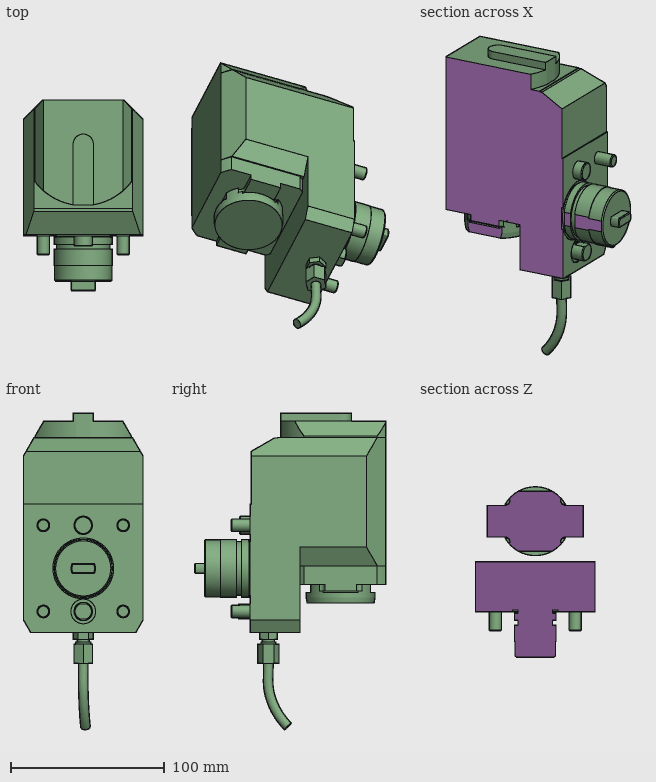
import cadquery as cq
import math


WIDTH = 78.0
BACK_Y = 88.5
TOP_Z = 127.3
SLOPE = math.tan(math.radians(60))
TOP_HALF_WIDTH = 32.0
BASE_HALF_WIDTH = 34.2
BACK_CHAMFER = 12.5
PLATE_DEPTH = 32.5
PLATE_TOP_Z = 126.9
PLATE_TOP_DEPTH = 17.7
FRONT_CHAMFER_Y = 15.9
FRONT_CHAMFER_SLOPE = math.tan(math.radians(30))
PAD_TOP_Z = 83.8
PAD_STEP = 0.75
BLOCK_BOTTOM_Z = 43.5

TURRET_Y = 59.0
TURRET_RADIUS = 39.5
TURRET_HALF_WIDTH = 31.4
CAP_WALL = 0.8
CAP_TOP_Z = 137.8
KEY_WIDTH = 13.2
KEY_TOP_Z = 143.0
KEY_BACK_Y = 66.2
KEY_FLAT_WIDTH = 9.3
FOOT_BOTTOM_Z = 31.4

COUPLING_DIAMETER = 45.0
COUPLING_TIP_DIAMETER = 43.7
COUPLING_TAPER_Z = 23.0
COUPLING_BOTTOM_Z = 19.2
NECK_BOTTOM_Z = 26.2
NECK_WIDTH = 39.2
LUG_WIDTH = 20.6
LUG_BOTTOM_Z = 27.2
LUG_FILLET = 3.5
LUG_ROOT_X = 16.5
NOTCH_WIDTH = 22.7

SPINDLE_Z = 41.9
SPINDLE_DIAMETER = 38.0
SPINDLE_TIP_DIAMETER = 37.5
SPINDLE_GROOVE_DIAMETER = 35
SPINDLE_GROOVE_START = 5.5
SPINDLE_GROOVE_END = 8.7
SPINDLE_STEP = 19.4
SPINDLE_LENGTH = 29.7
SPINDLE_CHAMFER = 0.8
SPINDLE_RECESS_DIAMETER = 39.6
RECESS_DEPTH = 1.0
TONGUE_WIDTH = 15.9
TONGUE_HEIGHT = 6.5
TONGUE_TIP = 36.0
TONGUE_CORNER_RADIUS = 1.0
PIN_SPACING_X = 52.0
PIN_SPACING_Z = 56.1
PIN_DIAMETER = 8.3
PIN_LENGTH = 12.4
TIP_CHAMFER = 0.6
DOWEL_DIAMETER = 12.0
UPPER_DOWEL_LENGTH = 6.8
LOWER_DOWEL_LENGTH = 7.5
LOWER_DOWEL_HEIGHT = 10.0
DOWEL_RECESS_DIAMETER = 16.0

GLAND_Y = 12.0
GLAND_NUT_FLATS = 11.5
GLAND_NUT_BOTTOM_Z = -4.3
GLAND_NECK_DIAMETER = 8.0
GLAND_COLLAR_DIAMETER = 10.0
GLAND_COLLAR_TOP_Z = -6.0
GLAND_BODY_FLATS = 12.2
GLAND_BODY_TURN = 30
GLAND_BODY_TOP_Z = -7.5
GLAND_BODY_BOTTOM_Z = -20.0
CABLE_DIAMETER = 6.4
CABLE_END_Z = -61.0
CABLE_REACH = 12.8
CABLE_BEND_START_Z = -35
CABLE_BEND_ANGLE = math.radians(45)
CABLE_TWIST = math.radians(6.5)

HALF_WIDTH = WIDTH / 2
SIDE_CHAMFER_HEIGHT = (HALF_WIDTH - TOP_HALF_WIDTH) * SLOPE


def upright_prism(sketch_points, z_low, z_high):
    """Extrude a closed XY outline between two heights."""
    return cq.Workplane("XY", origin=(0, 0, z_low)).polyline(sketch_points).close().extrude(z_high - z_low)


def mirrored_prism(right_half, y_front, y_back):
    """Extrude an XZ outline, given by its +X half, between two depths."""
    left_half = [(-x, z) for x, z in reversed(right_half)]
    outline = cq.Workplane("XZ", origin=(0, y_front, 0)).polyline(right_half + left_half).close()
    return outline.extrude(y_front - y_back)


def upright_cylinder(y, diameter, z_low, z_high):
    return cq.Workplane("XY", origin=(0, y, z_low)).circle(diameter / 2).extrude(z_high - z_low)


def front_cylinder(x, z, diameter, start, end):
    """Cylinder along -Y, from one distance in front of the pad to another."""
    return cq.Workplane("XZ", origin=(x, -start, z)).circle(diameter / 2).extrude(end - start)


def block(width, y_front, y_back, z_low, z_high):
    """Box centred on X = 0."""
    box = cq.Workplane("XY").box(width, y_back - y_front, z_high - z_low, centered=(True, False, False))
    return box.translate((0, y_front, z_low))


def make_housing():
    slope_drop = (FRONT_CHAMFER_Y - PAD_STEP) * FRONT_CHAMFER_SLOPE
    side_outline = [
        (0, 0),
        (0, PAD_TOP_Z),
        (PAD_STEP, PAD_TOP_Z),
        (PAD_STEP, PLATE_TOP_Z - slope_drop),
        (FRONT_CHAMFER_Y, PLATE_TOP_Z),
        (PLATE_TOP_DEPTH, PLATE_TOP_Z),
        (PLATE_TOP_DEPTH, TOP_Z),
        (BACK_Y, TOP_Z),
        (BACK_Y, BLOCK_BOTTOM_Z),
        (PLATE_DEPTH, BLOCK_BOTTOM_Z),
        (PLATE_DEPTH, 0),
    ]
    body = cq.Workplane("YZ").polyline(side_outline).close().extrude(HALF_WIDTH, both=True)

    front_half = [
        (BASE_HALF_WIDTH, 0),
        (HALF_WIDTH, (HALF_WIDTH - BASE_HALF_WIDTH) * SLOPE),
        (HALF_WIDTH, TOP_Z - SIDE_CHAMFER_HEIGHT),
        (TOP_HALF_WIDTH, TOP_Z),
    ]
    body = body.intersect(mirrored_prism(front_half, 0, BACK_Y))

    chamfered_plan = [
        (-HALF_WIDTH, 0),
        (HALF_WIDTH, 0),
        (HALF_WIDTH, BACK_Y - BACK_CHAMFER),
        (HALF_WIDTH - BACK_CHAMFER, BACK_Y),
        (BACK_CHAMFER - HALF_WIDTH, BACK_Y),
        (-HALF_WIDTH, BACK_Y - BACK_CHAMFER),
    ]
    body = body.intersect(upright_prism(chamfered_plan, 0, TOP_Z))

    for side in (1, -1):
        underside_wedge = [
            (side * TOP_HALF_WIDTH, BLOCK_BOTTOM_Z),
            (side * HALF_WIDTH, BLOCK_BOTTOM_Z + SIDE_CHAMFER_HEIGHT),
            (side * HALF_WIDTH, BLOCK_BOTTOM_Z),
        ]
        wedge = cq.Workplane("XZ", origin=(0, PLATE_DEPTH, 0)).polyline(underside_wedge).close()
        body = body.cut(wedge.extrude(PLATE_DEPTH - BACK_Y))
    return body


def make_turret():
    """Cap with its key above the housing, and the foot below it."""
    round_limit = upright_cylinder(TURRET_Y, 2 * TURRET_RADIUS, FOOT_BOTTOM_Z, KEY_TOP_Z)
    flat_front_y = TURRET_Y - math.sqrt(TURRET_RADIUS**2 - (KEY_FLAT_WIDTH / 2) ** 2)

    wall_top_z = TOP_Z + CAP_WALL
    cap_half = [
        (TURRET_HALF_WIDTH, TOP_Z),
        (TURRET_HALF_WIDTH, wall_top_z),
        (TURRET_HALF_WIDTH - (CAP_TOP_Z - wall_top_z) / SLOPE, CAP_TOP_Z),
    ]
    cap = mirrored_prism(cap_half, flat_front_y, BACK_Y)

    key_radius = KEY_WIDTH / 2
    key_center_y = KEY_BACK_Y - key_radius
    key = block(KEY_WIDTH, flat_front_y, key_center_y, TOP_Z, KEY_TOP_Z)
    key = key.union(upright_cylinder(key_center_y, KEY_WIDTH, TOP_Z, KEY_TOP_Z))

    foot = block(2 * TURRET_HALF_WIDTH, PLATE_DEPTH, BACK_Y, FOOT_BOTTOM_Z, BLOCK_BOTTOM_Z)
    return cap.union(key).intersect(round_limit), foot.intersect(round_limit)


def make_coupling():
    flange = upright_cylinder(TURRET_Y, COUPLING_DIAMETER, COUPLING_TAPER_Z, FOOT_BOTTOM_Z)
    taper = (
        cq.Workplane("XY", origin=(0, TURRET_Y, COUPLING_TAPER_Z))
        .circle(COUPLING_DIAMETER / 2)
        .workplane(offset=COUPLING_BOTTOM_Z - COUPLING_TAPER_Z)
        .circle(COUPLING_TIP_DIAMETER / 2)
        .loft()
    )
    coupling = flange.union(taper)

    for side in (1, -1):
        flat_y = TURRET_Y + side * NECK_WIDTH / 2
        outer_y = TURRET_Y + side * COUPLING_DIAMETER / 2
        beyond_flat = block(WIDTH, min(flat_y, outer_y), max(flat_y, outer_y), NECK_BOTTOM_Z, FOOT_BOTTOM_Z)
        coupling = coupling.cut(beyond_flat)

    root_width = LUG_WIDTH + 2 * LUG_FILLET
    core = block(2 * LUG_ROOT_X, TURRET_Y - HALF_WIDTH, TURRET_Y + HALF_WIDTH, NECK_BOTTOM_Z, FOOT_BOTTOM_Z)
    for width, bottom_z in ((NOTCH_WIDTH, NECK_BOTTOM_Z), (root_width, LUG_BOTTOM_Z)):
        notch = block(WIDTH, TURRET_Y - width / 2, TURRET_Y + width / 2, bottom_z, FOOT_BOTTOM_Z)
        coupling = coupling.cut(notch.cut(core))

    lug_front_y = TURRET_Y - LUG_WIDTH / 2
    root_front_y = TURRET_Y - root_width / 2
    lug_bar = block(2 * TURRET_HALF_WIDTH, lug_front_y, lug_front_y + LUG_WIDTH, LUG_BOTTOM_Z, FOOT_BOTTOM_Z)
    root_reach = LUG_ROOT_X + LUG_FILLET
    root = block(2 * root_reach, root_front_y, root_front_y + root_width, LUG_BOTTOM_Z, FOOT_BOTTOM_Z)
    flare_centers = [(side * root_reach, end * root_width / 2) for side in (1, -1) for end in (1, -1)]
    flare = (
        cq.Workplane("XY", origin=(0, TURRET_Y, LUG_BOTTOM_Z))
        .pushPoints(flare_centers)
        .circle(LUG_FILLET)
        .extrude(FOOT_BOTTOM_Z - LUG_BOTTOM_Z)
    )
    return coupling.union(lug_bar).union(root.cut(flare))


def make_spindle():
    profile = [
        (0, -RECESS_DEPTH),
        (SPINDLE_GROOVE_DIAMETER / 2, -RECESS_DEPTH),
        (SPINDLE_GROOVE_DIAMETER / 2, SPINDLE_CHAMFER),
        (SPINDLE_DIAMETER / 2, SPINDLE_CHAMFER),
        (SPINDLE_DIAMETER / 2, SPINDLE_GROOVE_START),
        (SPINDLE_GROOVE_DIAMETER / 2, SPINDLE_GROOVE_START),
        (SPINDLE_GROOVE_DIAMETER / 2, SPINDLE_GROOVE_END),
        (SPINDLE_DIAMETER / 2, SPINDLE_GROOVE_END),
        (SPINDLE_DIAMETER / 2, SPINDLE_STEP),
        (SPINDLE_TIP_DIAMETER / 2, SPINDLE_STEP),
        (SPINDLE_TIP_DIAMETER / 2, SPINDLE_LENGTH - SPINDLE_CHAMFER),
        (SPINDLE_TIP_DIAMETER / 2 - SPINDLE_CHAMFER, SPINDLE_LENGTH),
        (0, SPINDLE_LENGTH),
    ]
    turned = (
        cq.Workplane("XY", origin=(0, 0, SPINDLE_Z))
        .polyline([(radius, -distance) for radius, distance in profile])
        .close()
        .revolve(360, (0, 0, 0), (0, 1, 0))
    )
    tongue_bottom_z = SPINDLE_Z - TONGUE_HEIGHT / 2
    tongue_slab = block(
        TONGUE_WIDTH, -TONGUE_TIP, -SPINDLE_LENGTH, tongue_bottom_z, tongue_bottom_z + TONGUE_HEIGHT
    )
    tongue = front_cylinder(0, SPINDLE_Z, TONGUE_WIDTH, SPINDLE_LENGTH, TONGUE_TIP).intersect(tongue_slab)
    tongue = tongue.edges("|Y").fillet(TONGUE_CORNER_RADIUS)
    tongue = tongue.faces("<Y").chamfer(TIP_CHAMFER)
    return turned.union(tongue)


def make_pin(x, z, diameter, length):
    """Pin that starts at the recess floor level and has a chamfered tip."""
    return front_cylinder(x, z, diameter, -RECESS_DEPTH, length).faces("<Y").chamfer(TIP_CHAMFER)


def make_pins():
    upper_z = SPINDLE_Z + PIN_SPACING_Z / 2
    lower_z = SPINDLE_Z - PIN_SPACING_Z / 2
    upper_dowel = make_pin(0, upper_z, DOWEL_DIAMETER, UPPER_DOWEL_LENGTH)
    flats = block(
        DOWEL_DIAMETER,
        -LOWER_DOWEL_LENGTH,
        0,
        lower_z - LOWER_DOWEL_HEIGHT / 2,
        lower_z + LOWER_DOWEL_HEIGHT / 2,
    )
    lower_dowel = make_pin(0, lower_z, DOWEL_DIAMETER, LOWER_DOWEL_LENGTH).intersect(flats)
    lower_dowel_base = front_cylinder(0, lower_z, DOWEL_DIAMETER, -RECESS_DEPTH, 0)
    pins = upper_dowel.union(lower_dowel).union(lower_dowel_base)
    for x in (-PIN_SPACING_X / 2, PIN_SPACING_X / 2):
        for z in (lower_z, upper_z):
            pins = pins.union(make_pin(x, z, PIN_DIAMETER, PIN_LENGTH))
    return pins


def make_hexagon(flats, turn, z_low, z_high):
    """Hexagonal prism on the gland axis; with no turn, two corners lie along X."""
    corner_diameter = flats / math.cos(math.pi / 6)
    hexagon = cq.Workplane("XY").polygon(6, corner_diameter).extrude(z_high - z_low)
    return hexagon.rotate((0, 0, 0), (0, 0, 1), turn).translate((0, GLAND_Y, z_low))


def make_gland():
    nut = make_hexagon(GLAND_NUT_FLATS, 0, GLAND_NUT_BOTTOM_Z, 0)
    neck = upright_cylinder(GLAND_Y, GLAND_NECK_DIAMETER, GLAND_COLLAR_TOP_Z, GLAND_NUT_BOTTOM_Z)
    collar = upright_cylinder(GLAND_Y, GLAND_COLLAR_DIAMETER, GLAND_BODY_TOP_Z, GLAND_COLLAR_TOP_Z)
    gland_body = make_hexagon(GLAND_BODY_FLATS, GLAND_BODY_TURN, GLAND_BODY_BOTTOM_Z, GLAND_BODY_TOP_Z)
    return nut.union(neck).union(collar).union(gland_body)


def make_cable():
    """Cable that hangs straight down and then curves toward the back."""
    bend_start = (0, CABLE_BEND_START_Z - GLAND_BODY_BOTTOM_Z)
    cable_end = (CABLE_REACH, CABLE_END_Z - GLAND_BODY_BOTTOM_Z)
    end_direction = (math.sin(CABLE_BEND_ANGLE), -math.cos(CABLE_BEND_ANGLE))
    bend_plane = cq.Plane(
        origin=(0, GLAND_Y, GLAND_BODY_BOTTOM_Z),
        xDir=(math.sin(CABLE_TWIST), math.cos(CABLE_TWIST), 0),
        normal=(math.cos(CABLE_TWIST), -math.sin(CABLE_TWIST), 0),
    )
    path = cq.Workplane(bend_plane).spline([(0, 0), bend_start, cable_end], tangents=[(0, -1), end_direction])
    section = cq.Workplane("XY", origin=(0, GLAND_Y, GLAND_BODY_BOTTOM_Z)).circle(CABLE_DIAMETER / 2)
    return section.sweep(path)


cap, foot = make_turret()
housing = make_housing()
for recess_z, recess_diameter in (
    (SPINDLE_Z, SPINDLE_RECESS_DIAMETER),
    (SPINDLE_Z - PIN_SPACING_Z / 2, DOWEL_RECESS_DIAMETER),
):
    housing = housing.cut(front_cylinder(0, recess_z, recess_diameter, -RECESS_DEPTH, 0))

result = housing
for addition in (cap, foot, make_coupling(), make_spindle(), make_pins(), make_gland(), make_cable()):
    result = result.union(addition)